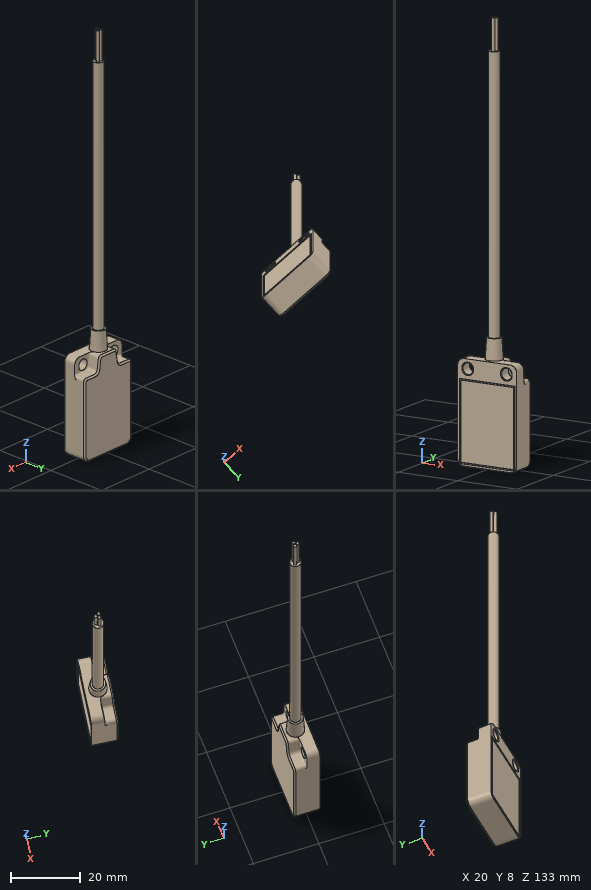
import cadquery as cq

body_width = 20.0
body_depth = 8.0
body_height = 31.9
total_height = 133.0
corner_radius = 2.1
back_chamfer = 0.5

half_width = body_width / 2
front_y = -body_depth / 2
back_y = body_depth / 2

recess_depth = 4.0
recess_floor_z = body_height - 5.3
recess_root_radius = 0.5
boss_half_width_top = 3.6
boss_half_width_base = 4.4
boss_foot_radius = 1.3
boss_crown_radius = 1.2
shoulder_radius = 1.0
overshoot = 4.0

hole_diameter = 3.5
hole_chamfer = 0.3
hole_offset_x = 6.5
hole_z = body_height - 2.9

panel_width = 18.6
panel_bottom_z = 0.7
panel_top_z = 25.8
groove_width = 0.4
groove_depth = 0.1

boot_base_diameter = 5.3
boot_top_diameter = 4.5
boot_height = 6.5
cable_diameter = 3.3
cable_top_z = 123.2
wire_diameter = 1.0
wire_circle_radius = 0.7
wire_count = 3
first_wire_angle = -90


def make_block():
    """Body block with its four upright corners rounded in the XZ plane."""
    block = cq.Workplane("XY").box(body_width, body_depth, body_height, centered=(True, True, False))
    return block.edges("|Y").fillet(corner_radius)


def make_recess_cutter():
    """Space removed beside the boss on the +X side, with a rounded root at its front."""
    recess_front_y = back_y - recess_depth
    outer_x = half_width + overshoot
    upper_z = body_height + overshoot
    crown = (boss_half_width_top, body_height)
    foot = (boss_half_width_base, recess_floor_z)
    shoulder = (half_width, recess_floor_z)
    outline = [
        (0, body_height),
        crown,
        foot,
        shoulder,
        (half_width, recess_floor_z - overshoot),
        (outer_x, recess_floor_z - overshoot),
        (outer_x, upper_z),
        (0, upper_z),
    ]
    cutter = (
        cq.Workplane("XZ", origin=(0, recess_front_y, 0))
        .polyline(outline)
        .close()
        .extrude(-(recess_depth + overshoot))
    )
    rounded_corners = (
        (crown, boss_crown_radius),
        (foot, boss_foot_radius),
        (shoulder, shoulder_radius),
    )
    for (x, z), radius in rounded_corners:
        corner = cq.selectors.NearestToPointSelector((x, back_y, z))
        cutter = cutter.edges("|Y").edges(corner).fillet(radius)
    floor_mid_x = (boss_half_width_base + half_width) / 2
    floor_edge = cq.selectors.NearestToPointSelector((floor_mid_x, recess_front_y, recess_floor_z))
    return cutter.edges(floor_edge).fillet(recess_root_radius)


def make_body():
    cutter = make_recess_cutter()
    body = make_block().cut(cutter).cut(cutter.mirror("YZ"))
    return body.faces(">Y").chamfer(back_chamfer)


def make_mounting_hole(x):
    """Through hole with a chamfered mouth on the front face."""
    radius = hole_diameter / 2
    bore = cq.Solid.makeCylinder(radius, body_depth, cq.Vector(x, front_y, hole_z), cq.Vector(0, 1, 0))
    mouth = cq.Solid.makeCone(
        radius + hole_chamfer, radius, hole_chamfer, cq.Vector(x, front_y, hole_z), cq.Vector(0, 1, 0)
    )
    return cq.Workplane(bore).union(cq.Workplane(mouth))


def make_panel_groove():
    panel_height = panel_top_z - panel_bottom_z
    panel_mid_z = (panel_top_z + panel_bottom_z) / 2
    return (
        cq.Workplane("XZ", origin=(0, front_y, panel_mid_z))
        .rect(panel_width, panel_height)
        .rect(panel_width - 2 * groove_width, panel_height - 2 * groove_width)
        .extrude(-groove_depth)
    )


def make_cable():
    """Tapered strain relief, cable jacket and the bare wires at its end."""
    boot = cq.Workplane(
        cq.Solid.makeCone(boot_base_diameter / 2, boot_top_diameter / 2, boot_height)
    ).translate((0, 0, body_height))
    jacket = (
        cq.Workplane("XY", origin=(0, 0, body_height))
        .circle(cable_diameter / 2)
        .extrude(cable_top_z - body_height)
    )
    wires = (
        cq.Workplane("XY", origin=(0, 0, cable_top_z))
        .polarArray(wire_circle_radius, first_wire_angle, 360, wire_count)
        .circle(wire_diameter / 2)
        .extrude(total_height - cable_top_z)
    )
    return boot.union(jacket).union(wires)


result = make_body().cut(make_panel_groove())
for hole_x in (-hole_offset_x, hole_offset_x):
    result = result.cut(make_mounting_hole(hole_x))
result = result.union(make_cable())